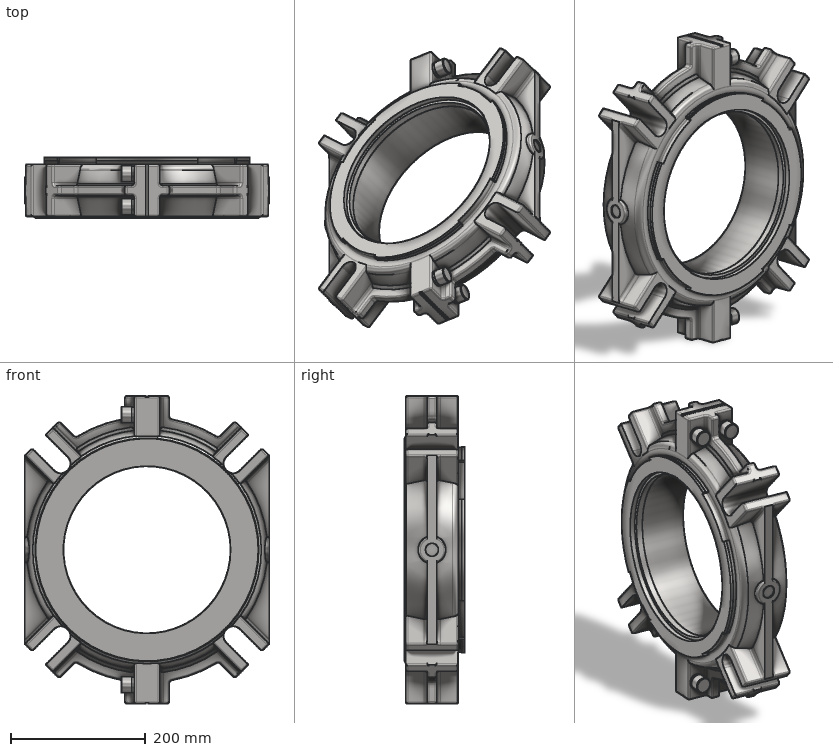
import cadquery as cq
import math

match_tolerance = 0.01
edge_margin = 1.0


side_x = 363.12 / 2
outer_reach = 457.18 / 2
front_face_y = -41.2
rear_face_y = front_face_y + 89.99

bore_diameter = 247.65
rear_bore_diameter = 247.83
rear_bore_depth = 18.3
counterbore_diameter = 257.18
counterbore_depth = 8.0
front_disc_diameter = 330.2
front_disc_height = 0.8
front_edge_radius = 169.7
front_edge_y = -38.5
crown_radius = 181.0
crown_slope = (crown_radius - front_edge_radius) / abs(front_edge_y)
rear_shoulder_y = 30.0
rear_round = 9.0

wall_half_depth = 38.9
wall_root_radius = 158.0
edge_round = 2.8
corner_fillet = 5.0
stub_overlap = 1.0

rib_half_thickness = 7.0
rib_radius = 197.3
rib_edge_round = 2.6
rib_foot_fillet = 5.0
stub_corner_round = 4.0
toe_height = 4.5
toe_width = 2.8
toe_half_angle = 40.0

block_half_width = 18.8
block_rib_half_width = 33.1
groove_width = 4.0
groove_depth = 1.5

slot_angle = 45.0
slot_width = 28.3
slot_center_radius = 180.8
lug_reach = 227.0
lug_half_width = 29.3
lug_rib_reach = 42.7

bolt_head_diameter = 24.0
bolt_head_chamfer = 1.0
bolt_seat_diameter = 23.0
bolt_seat_x = -22.5
bolt_seat_overlap = 1.0
bolt_end_x = -38.5
bolt_y = 24.5
bolt_z = 200.4

boss_diameter = 41.0
boss_recess_diameter = 19.26
boss_recess_depth = 2.0

spigot_radius = 149.3
spigot_foot_fillet = 2.5
pad_radius = 153.0
pad_half_angle = 29.5
pad_lip_width = 4.6
pad_lip_height = 0.4


def crown_radius_at(y):
    """Radius of the double-cone outer surface at a given Y."""
    return crown_radius - crown_slope * abs(y)


def turn_about_axis(shape, angle):
    """Turn a shape about the Y axis; positive angles turn +Z toward +X."""
    return shape.rotate((0, 0, 0), (0, 1, 0), angle)


def four_quadrants(shape):
    """The shape and its mirror images across the YZ and XY planes."""
    pair = [shape, shape.mirror("YZ")]
    return pair + [half.mirror("XY") for half in pair]


def rear_cylinder(diameter, length):
    """Cylinder on the ring axis, reaching forward from the rear face."""
    return cq.Workplane("XZ", origin=(0, rear_face_y, 0)).circle(diameter / 2).extrude(length)


def join(shapes):
    """Fuse several workplane shapes in a single operation."""
    first = shapes[0].val()
    return cq.Workplane(first.fuse(*[shape.val() for shape in shapes[1:]]))


def make_body():
    """Revolved ring with a double-cone crown, a chamfered front edge and a rounded rear edge."""
    bore_radius = bore_diameter / 2
    disc_radius = front_disc_diameter / 2
    disc_y = front_face_y + front_disc_height
    shoulder_radius = crown_radius_at(rear_shoulder_y)
    rear_length = wall_half_depth - rear_shoulder_y
    arc_share = math.sqrt(0.5)
    return (
        cq.Workplane("XY")
        .moveTo(bore_radius, front_face_y)
        .lineTo(disc_radius, front_face_y)
        .lineTo(disc_radius, disc_y)
        .lineTo(disc_radius + front_disc_height, disc_y)
        .lineTo(front_edge_radius, front_edge_y)
        .lineTo(crown_radius, 0)
        .lineTo(shoulder_radius, rear_shoulder_y)
        .threePointArc(
            (shoulder_radius - rear_round * (1 - arc_share), rear_shoulder_y + rear_length * arc_share),
            (shoulder_radius - rear_round, wall_half_depth),
        )
        .lineTo(bore_radius, wall_half_depth)
        .close()
        .revolve(360, (0, 0), (0, 1))
    )


def make_rib_toe():
    """Sloped foot on both sides of the rib, along the arc between the two upper lugs."""
    toe_y = rib_half_thickness + toe_width
    top_radius = crown_radius_at(rib_half_thickness) + toe_height
    toe = (
        cq.Workplane("XY")
        .moveTo(wall_root_radius, -toe_y)
        .lineTo(crown_radius_at(toe_y), -toe_y)
        .lineTo(top_radius, -rib_half_thickness)
        .lineTo(top_radius, rib_half_thickness)
        .lineTo(crown_radius_at(toe_y), toe_y)
        .lineTo(wall_root_radius, toe_y)
        .close()
        .revolve(2 * toe_half_angle, (0, 0), (0, 1))
    )
    return turn_about_axis(toe, -90 - toe_half_angle)


def make_rib():
    """Rib with arcs above and below, flat sides, stubs on blocks and lugs, and rounded rims."""
    flat_half_height = side_x - lug_half_width * math.sqrt(2)
    arc_x = math.sqrt(rib_radius**2 - flat_half_height**2)
    plate = (
        cq.Workplane("XZ", origin=(0, rib_half_thickness, 0))
        .moveTo(side_x, -flat_half_height)
        .lineTo(side_x, flat_half_height)
        .lineTo(arc_x, flat_half_height)
        .threePointArc((0, rib_radius), (-arc_x, flat_half_height))
        .lineTo(-side_x, flat_half_height)
        .lineTo(-side_x, -flat_half_height)
        .lineTo(-arc_x, -flat_half_height)
        .threePointArc((0, -rib_radius), (arc_x, -flat_half_height))
        .close()
        .extrude(2 * rib_half_thickness)
    )
    block_stub = cq.Workplane("XY").box(
        2 * block_rib_half_width, 2 * rib_half_thickness, 2 * outer_reach
    )
    lug_stub = (
        cq.Workplane("XY")
        .box(lug_rib_reach, 2 * rib_half_thickness, lug_reach, centered=(False, True, False))
        .translate((-lug_rib_reach, 0, 0))
    )
    rib = join([plate, block_stub] + four_quadrants(turn_about_axis(lug_stub, slot_angle)))

    def corners_between(radius_min, radius_max):
        """Corner edges above or below the flat sides, within a range of radii."""
        found = []
        for edge in rib.edges("|Y").vals():
            center = edge.Center()
            beyond_flat = abs(center.z) > flat_half_height + edge_margin
            if beyond_flat and radius_min < math.hypot(center.x, center.z) < radius_max:
                found.append(edge)
        return rib.newObject(found)

    rib = corners_between(rib_radius - edge_margin, rib_radius + edge_margin).fillet(rib_foot_fillet)
    rib = corners_between(lug_reach, 2 * outer_reach).fillet(stub_corner_round)
    rim_edges = [
        edge
        for edge in rib.faces("<Y or >Y").edges().vals()
        if abs(edge.Center().x) < side_x - edge_margin
        and abs(edge.Center().z) > flat_half_height + edge_margin
    ]
    return rib.newObject(rim_edges).fillet(rib_edge_round)


def make_wall(half_width, reach):
    """Full-depth wall standing along Z, joined by filleted corners to a rib stub on each side."""
    stub_end = half_width + corner_fillet + stub_overlap
    quarter = [
        (half_width, wall_half_depth),
        (half_width, rib_half_thickness),
        (stub_end, rib_half_thickness),
    ]
    right_half = quarter + [(x, -y) for x, y in reversed(quarter)]
    left_half = [(-x, -y) for x, y in right_half]
    wall = (
        cq.Workplane("XY", origin=(0, 0, wall_root_radius))
        .polyline(right_half + left_half)
        .close()
        .extrude(reach - wall_root_radius)
    )
    wall = wall.edges("|Z").edges(">Y or <Y").fillet(edge_round)
    corners = [
        edge
        for edge in wall.edges("|Z").vals()
        if math.isclose(abs(edge.Center().x), half_width, abs_tol=match_tolerance)
    ]
    return wall.newObject(corners).fillet(corner_fillet)


def make_clamp_block():
    """Top clamp block with rounded end edges."""
    return make_wall(block_half_width, outer_reach).faces(">Z").edges().fillet(edge_round)


def make_groove():
    """Cutter for the shallow groove along the end of the top clamp block."""
    return (
        cq.Workplane("XY")
        .box(groove_width, 4 * wall_half_depth, 2 * groove_depth)
        .translate((0, 0, outer_reach))
    )


def make_upright_slot():
    """Cutter for a round-bottomed slot open toward +Z."""
    radius = slot_width / 2
    return (
        cq.Workplane("XZ", origin=(0, outer_reach, 0))
        .moveTo(-radius, 2 * outer_reach)
        .lineTo(-radius, slot_center_radius)
        .threePointArc((0, slot_center_radius - radius), (radius, slot_center_radius))
        .lineTo(radius, 2 * outer_reach)
        .close()
        .extrude(2 * outer_reach)
    )


def make_slotted_lug():
    """Slotted lug on the +X +Z diagonal, with rounded end and mouth edges."""
    lug = make_wall(lug_half_width, lug_reach).cut(make_upright_slot())
    lug = lug.faces(">Z").edges().fillet(edge_round)
    lug = turn_about_axis(lug, slot_angle)
    side_limit = cq.Workplane("XY").box(2 * side_x, 4 * wall_half_depth, 2 * outer_reach)
    return lug.intersect(side_limit)


def make_side_boss():
    """Round boss flush with the +X flat of the rib."""
    return (
        cq.Workplane("YZ", origin=(wall_root_radius, 0, 0))
        .circle(boss_diameter / 2)
        .extrude(side_x - wall_root_radius)
        .faces(">X")
        .edges()
        .fillet(edge_round)
    )


def make_side_recess():
    """Cutter for the shallow round recess in the +X side boss."""
    return (
        cq.Workplane("YZ", origin=(side_x - boss_recess_depth, 0, 0))
        .circle(boss_recess_diameter / 2)
        .extrude(boss_recess_depth)
    )


def make_spigot():
    """Rear ring with a filleted foot."""
    arc_drop = spigot_foot_fillet * (1 - math.sqrt(0.5))
    return (
        cq.Workplane("XY")
        .moveTo(bore_diameter / 2, wall_half_depth)
        .lineTo(spigot_radius + spigot_foot_fillet, wall_half_depth)
        .threePointArc(
            (spigot_radius + arc_drop, wall_half_depth + arc_drop),
            (spigot_radius, wall_half_depth + spigot_foot_fillet),
        )
        .lineTo(spigot_radius, rear_face_y)
        .lineTo(bore_diameter / 2, rear_face_y)
        .close()
        .revolve(360, (0, 0), (0, 1))
    )


def make_pads():
    """Raised pads of the rear ring at the ends of the X and Z axes, each with a rear lip."""
    height = rear_face_y - wall_half_depth
    disc = rear_cylinder(2 * pad_radius, pad_lip_width).union(
        rear_cylinder(2 * (pad_radius - pad_lip_height), height)
    )
    wedge_length = 2 * pad_radius
    wedge_half_width = wedge_length * math.tan(math.radians(pad_half_angle))
    wedge = (
        cq.Workplane("XZ", origin=(0, rear_face_y, 0))
        .polyline([(0, 0), (-wedge_half_width, wedge_length), (wedge_half_width, wedge_length)])
        .close()
        .extrude(height)
    )
    pad = disc.intersect(wedge)
    return [turn_about_axis(pad, angle) for angle in (0, 90, 180, 270)]


def make_bore():
    """Cutter for the bore, its slightly wider rear part and the counterbore."""
    bore = rear_cylinder(bore_diameter, rear_face_y - front_face_y)
    rear_bore = rear_cylinder(rear_bore_diameter, rear_bore_depth)
    counterbore = rear_cylinder(counterbore_diameter, counterbore_depth)
    return bore.union(rear_bore).union(counterbore)


def make_bolt(y, z):
    """Bolt head and its seat, standing on the -X face of a clamp block."""
    seat_root_x = bolt_seat_overlap - block_half_width
    seat = (
        cq.Workplane("YZ", origin=(seat_root_x, y, z))
        .circle(bolt_seat_diameter / 2)
        .extrude(bolt_seat_x - seat_root_x)
    )
    head = (
        cq.Workplane("YZ", origin=(bolt_seat_x, y, z))
        .circle(bolt_head_diameter / 2)
        .extrude(bolt_end_x - bolt_seat_x)
        .faces("<X")
        .chamfer(bolt_head_chamfer)
    )
    return seat.union(head)


toe = make_rib_toe()
clamp_block = make_clamp_block()
side_boss = make_side_boss()
solids = [make_body(), make_rib(), toe, toe.mirror("XY"), clamp_block, clamp_block.mirror("XY")]
solids += [side_boss, side_boss.mirror("YZ"), make_spigot()]
solids += make_pads() + four_quadrants(make_slotted_lug())
solids += [make_bolt(y, z) for y in (-bolt_y, bolt_y) for z in (-bolt_z, bolt_z)]

groove = make_groove()
recess = make_side_recess()
cutters = four_quadrants(turn_about_axis(make_upright_slot(), slot_angle))
cutters += [groove, groove.mirror("XY"), recess, recess.mirror("YZ"), make_bore()]

ring = join(solids).val().cut(*[cutter.val() for cutter in cutters])
result = cq.Workplane(ring.clean()).solids()